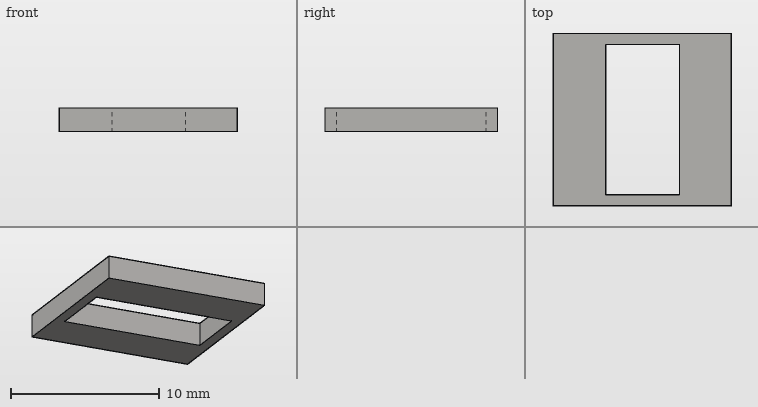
import cadquery as cq

plate_length = 12.01
plate_width = 11.63
plate_thickness = 1.6

window_length = 4.95
window_width = 10.1
window_offset = 0.02

plate = cq.Workplane("XY").box(plate_length, plate_width, plate_thickness)
window = (
    cq.Workplane("XY")
    .box(window_length, window_width, plate_thickness)
    .translate((window_offset, 0, 0))
)

result = plate.cut(window)